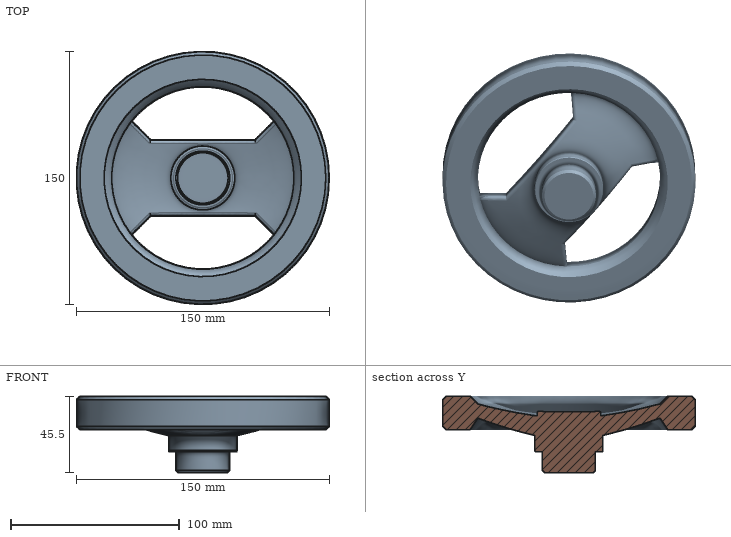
import cadquery as cq
import math

rim_radius = 75.0
rim_height = 20.0
rim_chamfer = 2.1
opening_radius = 54.0
opening_flare = 4.5
upper_flare_depth = 4.5
lower_flare_depth = 6.8

boss_radius = 38.0 / 2
boss_top = 11.2
boss_chamfer_width = 1.5
boss_chamfer_height = 0.5
recess_radius = 32.0 / 2
recess_floor_radius = 15.0
recess_depth = 0.5
collar_radius = 40.6 / 2
collar_bottom = -13.0
collar_chamfer_width = 0.3
collar_chamfer_height = 0.9
spigot_radius = 32.0 / 2
spigot_bottom = -25.5
spigot_chamfer = 1.5

web_top_at_hub = 8.4
web_bottom_at_hub = -3.5
web_sag = 0.6
spoke_half_width = 22.6
spoke_straight_half_length = 31.0
spoke_flare_angle = 45.0
spoke_edge_fillet = 2.0
web_overlap = 1.5


def make_rim():
    upper_edge = rim_height - upper_flare_depth
    flared_radius = opening_radius + opening_flare
    profile = [
        (flared_radius, 0),
        (rim_radius - rim_chamfer, 0),
        (rim_radius, rim_chamfer),
        (rim_radius, rim_height - rim_chamfer),
        (rim_radius - rim_chamfer, rim_height),
        (flared_radius, rim_height),
        (opening_radius, upper_edge),
        (opening_radius, lower_flare_depth),
    ]
    return cq.Workplane("XZ").polyline(profile).close().revolve(360, (0, 0), (0, 1))


def make_dish():
    outer_top = rim_height - upper_flare_depth
    outer_bottom = lower_flare_depth
    outer_radius = opening_radius + web_overlap
    top_middle = (
        (boss_radius + opening_radius) / 2,
        (web_top_at_hub + outer_top) / 2 - web_sag,
    )
    bottom_middle = (
        (collar_radius + opening_radius) / 2,
        (web_bottom_at_hub + outer_bottom) / 2 - web_sag,
    )
    return (
        cq.Workplane("XZ")
        .moveTo(0, web_bottom_at_hub)
        .lineTo(collar_radius, web_bottom_at_hub)
        .threePointArc(bottom_middle, (opening_radius, outer_bottom))
        .lineTo(outer_radius, outer_bottom)
        .lineTo(outer_radius, outer_top)
        .lineTo(opening_radius, outer_top)
        .threePointArc(top_middle, (boss_radius, web_top_at_hub))
        .lineTo(0, web_top_at_hub)
        .close()
        .revolve(360, (0, 0), (0, 1))
    )


def make_web():
    end_x = opening_radius + web_overlap
    flare_run = end_x - spoke_straight_half_length
    end_y = spoke_half_width + flare_run * math.tan(math.radians(spoke_flare_angle))
    outline = [
        (-end_x, -end_y),
        (-spoke_straight_half_length, -spoke_half_width),
        (spoke_straight_half_length, -spoke_half_width),
        (end_x, -end_y),
        (end_x, end_y),
        (spoke_straight_half_length, spoke_half_width),
        (-spoke_straight_half_length, spoke_half_width),
        (-end_x, end_y),
    ]
    column = (
        cq.Workplane("XY")
        .workplane(offset=spigot_bottom)
        .polyline(outline)
        .close()
        .extrude(rim_height - spigot_bottom)
    )
    web = make_dish().intersect(column)
    side_edges = []
    for face in web.faces("#Z").vals():
        middle = face.Center()
        if face.geomType() == "PLANE" and math.hypot(middle.x, middle.y) < opening_radius:
            side_edges += [edge for edge in face.Edges() if edge.geomType() != "LINE"]
    return web.newObject(side_edges).fillet(spoke_edge_fillet)


def make_hub():
    profile = [
        (0, spigot_bottom),
        (spigot_radius - spigot_chamfer, spigot_bottom),
        (spigot_radius, spigot_bottom + spigot_chamfer),
        (spigot_radius, collar_bottom),
        (collar_radius - collar_chamfer_width, collar_bottom),
        (collar_radius, collar_bottom + collar_chamfer_height),
        (collar_radius, web_bottom_at_hub),
        (boss_radius, web_bottom_at_hub),
        (boss_radius, boss_top - boss_chamfer_height),
        (boss_radius - boss_chamfer_width, boss_top),
        (recess_radius, boss_top),
        (recess_floor_radius, boss_top - recess_depth),
        (0, boss_top - recess_depth),
    ]
    return cq.Workplane("XZ").polyline(profile).close().revolve(360, (0, 0), (0, 1))


result = make_rim().union(make_web()).union(make_hub())